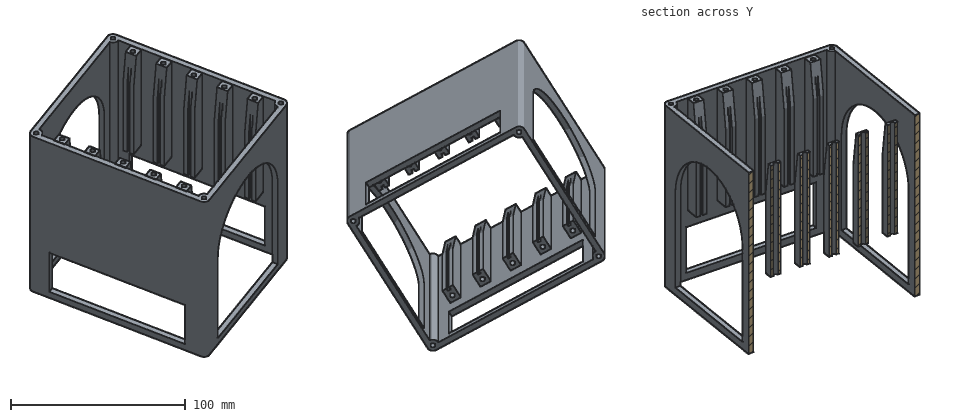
import cadquery as cq

length = 117.0
depth = 97.0
height = 122.4
wall = 3.5
corner_radius = wall

post_radius = 3.5
post_hole_diameter = 2.7

window_width = 88.8
window_bottom = 4.9
window_top = 35.6
arch_width = 70.0
arch_bottom = 5.0
arch_top = 103.4

rib_count = 5
rib_pitch = 20.0
rib_width = 7.0
rib_top_depth = 5.9
rib_full_depth = 8.9
rib_top = 121.9
rib_slope_bottom = 99.1
rib_bottom = 46.6
rib_hole_diameter = 2.8
rib_hole_offset = 3.5
slot_width = 1.7
slot_depth = 1.7

inner_length = length - 2 * wall
inner_depth = depth - 2 * wall


def make_frame():
    """Four walls with rounded outer corners, open at top and bottom."""
    outer = cq.Workplane("XY").box(length, depth, height, centered=(True, True, False))
    outer = outer.edges("|Z").fillet(corner_radius)
    inner = cq.Workplane("XY").box(inner_length, inner_depth, height, centered=(True, True, False))
    return outer.cut(inner)


def corner_columns(diameter):
    """Full-height cylinders standing on the four inside corners."""
    return (
        cq.Workplane("XY")
        .rect(inner_length, inner_depth, forConstruction=True)
        .vertices()
        .circle(diameter / 2)
        .extrude(height)
    )


def make_window():
    """Rectangular opening through both long walls."""
    window_height = window_top - window_bottom
    return (
        cq.Workplane("XY")
        .box(window_width, depth, window_height, centered=(True, True, False))
        .translate((0, 0, window_bottom))
    )


def make_arch():
    """Round-topped opening through both short walls."""
    half_width = arch_width / 2
    spring_height = arch_top - half_width
    return (
        cq.Workplane("YZ")
        .moveTo(-half_width, arch_bottom)
        .lineTo(half_width, arch_bottom)
        .lineTo(half_width, spring_height)
        .threePointArc((0, arch_top), (-half_width, spring_height))
        .close()
        .extrude(length / 2, both=True)
    )


def make_rib(x):
    """Rib on the back wall, tapered at the top, with a screw hole and a slot along its inner face."""
    wall_face = inner_depth / 2
    inner_face = wall_face - rib_full_depth
    rib = (
        cq.Workplane("YZ")
        .polyline([
            (wall_face, rib_bottom),
            (inner_face, rib_bottom),
            (inner_face, rib_slope_bottom),
            (wall_face - rib_top_depth, rib_top),
            (wall_face, rib_top),
        ])
        .close()
        .extrude(rib_width / 2, both=True)
    )
    hole = (
        cq.Workplane("XY")
        .center(0, wall_face - rib_hole_offset)
        .circle(rib_hole_diameter / 2)
        .extrude(height)
    )
    slot = (
        cq.Workplane("XY")
        .center(0, inner_face)
        .rect(slot_width, 2 * slot_depth)
        .extrude(height)
    )
    return rib.cut(hole).cut(slot).translate((x, 0, 0))


result = make_frame().union(corner_columns(2 * post_radius))
result = result.cut(corner_columns(post_hole_diameter))
result = result.cut(make_window()).cut(make_arch())

for index in range(rib_count):
    back_rib = make_rib((index - (rib_count - 1) / 2) * rib_pitch)
    result = result.union(back_rib).union(back_rib.mirror("XZ"))